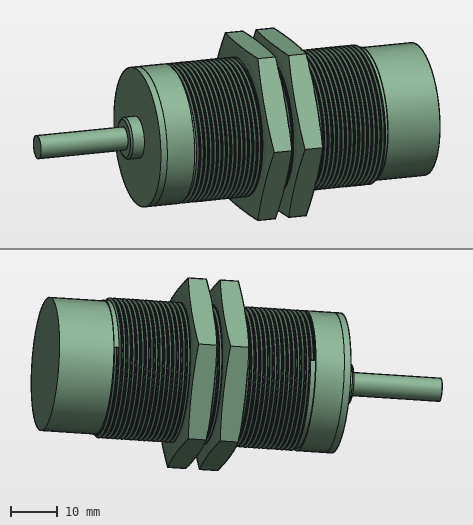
import cadquery as cq
import math


total_length = 86.1
cable_exposed = 19.6
gland_length = 3.0
cap_thickness = 1.5
collar_length = 6.2

nose_diameter = 28.5
thread_diameter = 30.0
cable_diameter = 5.0
gland_diameter = 9.0
gland_chamfer = 0.4

thread_pitch = 1.0
thread_turns = 44
thread_depth = 0.5
crest_width = 0.13
ridge_base_width = 0.95
ridge_embedding = 0.1

nut_across_flats = 36.0
nut_thickness = 5.0
nut_gap = 2.0
first_nut_start = 45.7
nut_count = 2
nut_face_diameter = 34.8
nut_corner_drop = 0.5

cap_face = cable_exposed + gland_length
collar_start = cap_face + cap_thickness
thread_start = collar_start + collar_length
thread_length = thread_pitch * thread_turns
nose_start = thread_start + thread_length
crest_radius = thread_diameter / 2
root_radius = crest_radius - thread_depth
nut_corner_diameter = nut_across_flats / math.cos(math.radians(30))


def cylinder(diameter, start, end):
    """Solid cylinder on the Y axis between two stations."""
    return (
        cq.Workplane("XZ", origin=(0, start, 0))
        .circle(diameter / 2)
        .extrude(start - end)
    )


def make_thread_ridge():
    """Helical ridge, kept half a pitch clear of both thread ends."""
    path = cq.Wire.makeHelix(thread_pitch, thread_length - thread_pitch, root_radius)
    inner_radius = root_radius - ridge_embedding
    ridge = (
        cq.Workplane("XZ")
        .polyline([
            (inner_radius, -ridge_base_width / 2),
            (crest_radius, -crest_width / 2),
            (crest_radius, crest_width / 2),
            (inner_radius, ridge_base_width / 2),
        ])
        .close()
        .sweep(cq.Workplane(path), isFrenet=True)
    )
    return (
        ridge.rotate((0, 0, 0), (0, 0, 1), 180)
        .rotate((0, 0, 0), (1, 0, 0), -90)
        .translate((0, thread_start + thread_pitch / 2, 0))
    )


def make_housing():
    """Nose, threaded barrel, rear collar and the cable leaving the collar."""
    core = cylinder(2 * root_radius, thread_start, nose_start)
    nose = cylinder(nose_diameter, nose_start, total_length)
    collar = cylinder(thread_diameter, collar_start, thread_start)
    cable = cylinder(cable_diameter, 0, collar_start)
    smooth_body = core.union(nose).union(collar).union(cable)
    return smooth_body.union(make_thread_ridge(), clean=False)


def make_end_cap():
    """Rear disc with a chamfered cable gland, bored through for the cable."""
    disc = cylinder(thread_diameter, cap_face, collar_start)
    gland = cylinder(gland_diameter, cable_exposed, cap_face).faces("<Y").chamfer(gland_chamfer)
    return disc.union(gland).cut(cylinder(cable_diameter, 0, collar_start))


def make_nut(start):
    """Hexagonal nut, corners on the X axis, with both faces coned off at the corners."""
    hexagon = (
        cq.Workplane("XZ", origin=(0, start, 0))
        .polygon(6, nut_corner_diameter)
        .extrude(-nut_thickness)
    )
    face_radius = nut_face_diameter / 2
    corner_radius = nut_corner_diameter / 2
    end = start + nut_thickness
    coned_envelope = (
        cq.Workplane("XY")
        .polyline([
            (0, start),
            (face_radius, start),
            (corner_radius, start + nut_corner_drop),
            (corner_radius, end - nut_corner_drop),
            (face_radius, end),
            (0, end),
        ])
        .close()
        .revolve(360, (0, 0, 0), (0, 1, 0))
    )
    return hexagon.intersect(coned_envelope).cut(cylinder(thread_diameter, start, end))


housing = make_housing()
end_cap = make_end_cap()
nuts = []
for index in range(nut_count):
    nuts.append(make_nut(first_nut_start + index * (nut_thickness + nut_gap)))

result = cq.Compound.makeCompound([
    housing.val(),
    end_cap.val(),
    *[nut.val() for nut in nuts],
])